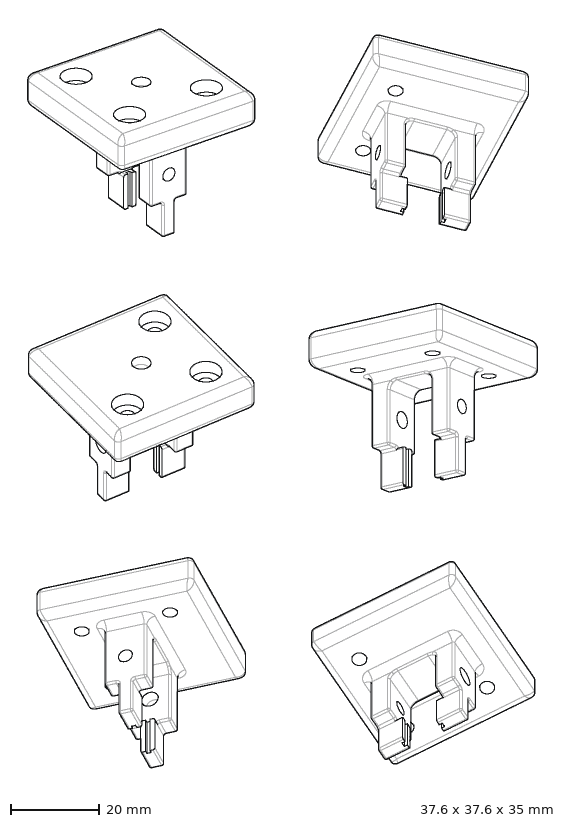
import cadquery as cq

plate_side = 37.6
plate_thickness = 9.02
plate_corner_radius = 1.0
plate_edge_radius = 2.0

fork_length = 21.92
fork_width = 10.0
leg_height = 17.0
leg_edge_radius = 0.5
leg_gap = 11.95
gap_corner_radius = 2.0
bridge_height = 2.0
flare_radius = 1.95

tab_height = 9.0
tab_width = 3.42
tab_root_radius = 0.6
jaw_gap = 9.0
groove_width = 1.0
groove_depth = 0.8

mount_offset = 10.6
mount_diameter = 3.4
mount_head_diameter = 7.3
mount_head_depth = 3.25

insert_mouth_diameter = 4.4
insert_diameter = 3.9
insert_taper_depth = 2.05
center_hole_depth = plate_thickness

screw_diameter = 3.3
screw_drop = 10.0

leg_thickness = (fork_length - leg_gap) / 2
leg_center = (fork_length + leg_gap) / 4
leg_bottom = -leg_height
tab_bottom = leg_bottom - tab_height
margin = 0.05


def hanging_box(length, width, height, x=0, top=0):
    """Box centred on (x, 0) that hangs down from the given top level."""
    return cq.Workplane("XY").box(length, width, height).translate((x, 0, top - height / 2))


def edges_within(body, x_range, half_width, z_range):
    """Edges whose middle lies in a box that is symmetric about Y = 0."""
    low = (x_range[0] - margin, -half_width - margin, z_range[0] - margin)
    high = (x_range[1] + margin, half_width + margin, z_range[1] + margin)
    return body.edges(cq.selectors.BoxSelector(low, high))


def make_plate():
    plate = hanging_box(plate_side, plate_side, plate_thickness, top=plate_thickness)
    plate = plate.edges("|Z").fillet(plate_corner_radius)
    return plate.faces("<Z or >Z").edges().fillet(plate_edge_radius)


def add_fork(body):
    """Add a block that flares into the plate, then cut the gap between the legs."""
    block = hanging_box(fork_length, fork_width, leg_height).edges("|Z").fillet(leg_edge_radius)
    half_length = fork_length / 2
    joint = edges_within(body.union(block), (-half_length, half_length), fork_width / 2, (0, 0))
    body = joint.fillet(flare_radius)
    gap = hanging_box(leg_gap, plate_side, leg_height, top=-bridge_height)
    gap = gap.faces(">Z").edges("|Y").fillet(gap_corner_radius)
    return body.cut(gap)


def add_tabs(body):
    """Hang a narrow tab under each leg, with inside fillets where they meet."""
    for side in (-1, 1):
        body = body.union(hanging_box(leg_thickness, tab_width, tab_height, side * leg_center, leg_bottom))
    half_length = fork_length / 2
    roots = edges_within(body, (-half_length, half_length), tab_width / 2, (leg_bottom, leg_bottom))
    return roots.edges("|X").fillet(tab_root_radius)


def round_legs(body):
    """Round the outer outline of the legs and tabs, and the bottom edges of the tabs."""
    for side in (-1, 1):
        outer_x = side * fork_length / 2
        middle_x = side * leg_center
        outline = edges_within(body, (outer_x, outer_x), fork_width / 2, (tab_bottom, leg_bottom))
        bottom = edges_within(body, (middle_x, middle_x), tab_width / 2, (tab_bottom, tab_bottom))
        body = outline.edges("not |X").add(bottom.edges("|X")).fillet(leg_edge_radius)
    return body


def round_gap(body):
    """Round both rims of the gap, along the legs and under the bridge."""
    half_gap = leg_gap / 2
    inner_z = leg_bottom + leg_edge_radius
    rims = edges_within(body, (-half_gap, half_gap), fork_width / 2, (inner_z, -bridge_height))
    return rims.edges("not |Y").fillet(leg_edge_radius)


def add_jaws(body):
    """Extend each tab into the gap as a jaw with a vertical groove in its tip."""
    jaw_tip = jaw_gap / 2
    jaw_root = leg_gap / 2 + leg_edge_radius
    jaw_center = (jaw_tip + jaw_root) / 2
    for side in (-1, 1):
        jaw = hanging_box(jaw_root - jaw_tip, tab_width, tab_height, side * jaw_center, leg_bottom)
        body = body.union(jaw.edges("|X").fillet(leg_edge_radius))
    grooves = hanging_box(jaw_gap + 2 * groove_depth, groove_width, tab_height, top=leg_bottom)
    return body.cut(grooves)


def insert_hole(depth):
    """Cutter with a tapered mouth at Z = 0, then a plain bore down to the depth."""
    profile = [
        (0, 0),
        (insert_mouth_diameter / 2, 0),
        (insert_diameter / 2, -insert_taper_depth),
        (insert_diameter / 2, -depth),
        (0, -depth),
    ]
    return cq.Workplane("XZ").polyline(profile).close().revolve(360, (0, 0, 0), (0, 1, 0))


def cut_plate_holes(body):
    """Cut the three mounting holes and the blind insert hole in the middle."""
    mounts = [
        (-mount_offset, -mount_offset),
        (mount_offset, -mount_offset),
        (mount_offset, mount_offset),
    ]
    body = (
        body.faces(">Z")
        .workplane(origin=(0, 0, plate_thickness))
        .pushPoints(mounts)
        .cboreHole(mount_diameter, mount_head_diameter, mount_head_depth, plate_thickness)
    )
    return body.cut(insert_hole(center_hole_depth).translate((0, 0, plate_thickness)))


def cut_screw_holes(body):
    """Cut the insert hole through the -X leg and the plain hole through the +X leg."""
    insert = insert_hole(leg_thickness).rotate((0, 0, 0), (0, 1, 0), -90)
    insert = insert.translate((-fork_length / 2, 0, -screw_drop))
    clearance = (
        cq.Workplane("YZ")
        .center(0, -screw_drop)
        .circle(screw_diameter / 2)
        .extrude(fork_length / 2)
    )
    return body.cut(insert).cut(clearance)


fork_on_plate = add_fork(make_plate())
rounded_body = round_gap(round_legs(add_tabs(fork_on_plate)))
clamp_body = add_jaws(rounded_body)
result = cut_screw_holes(cut_plate_holes(clamp_body))